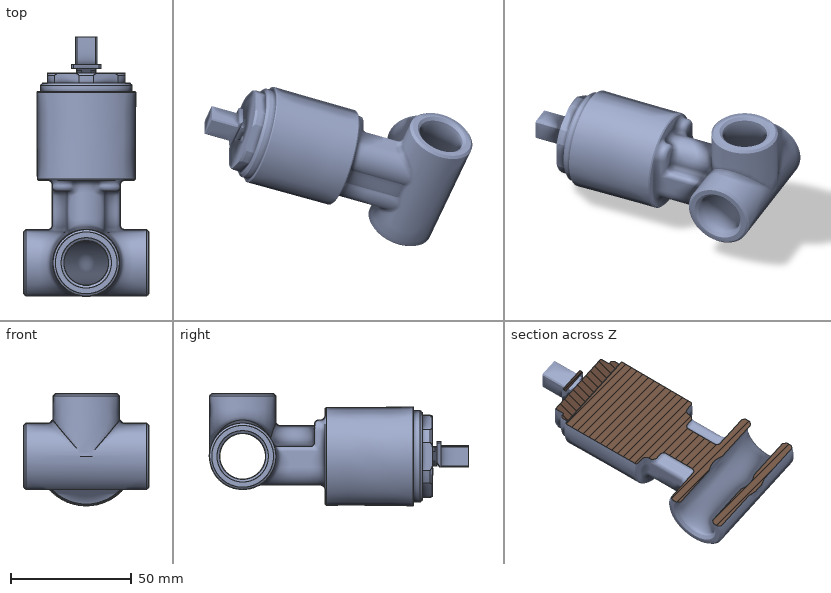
import cadquery as cq
import math


SEAM_TOLERANCE = 0.001

RUN_LENGTH = 52.1
RUN_RADIUS = 13.8
RUN_BORE_RADIUS = 9.5
BRANCH_TOP = RUN_LENGTH / 2
BRANCH_TOP_RADIUS = 13.8
BRANCH_BASE_RADIUS = 14.0
BRANCH_CORE_RADIUS = 13.7
BRANCH_BORE_RADIUS = 9.3
TEE_FILLET = 2.2
END_CHAMFER = 1.0
MOUTH_CHAMFER = 1.2

BARREL_START = 34.3
BARREL_END = 71.0
SHOULDER_END = 74.6
HEX_END = 78.8
STEM_END = 107.8 - BRANCH_BASE_RADIUS

BARREL_RADIUS = 20.6
BARREL_START_RADIUS = 20.4
BARREL_BREAK = 0.3
BARREL_START_BREAK = 0.5

CAST_FILLET = 1.9
FLANGE_FILLET = 2.0
NECK_HALF_WIDTH = 14.1
ARM_TOP = 4.0
HUMP_RADIUS = 7.8
HUMP_CENTER_Z = 5.0
LOBE_RADIUS = 7.0
LOBE_CENTER_Z = -5.0
LOBE_END_ANGLE = math.radians(30)

EAR_RADIUS = 4.6
EAR_TOP = 15.1
EAR_FRONT = 29.9
EAR_EDGE_FILLET = 1.7

SHOULDER_RADIUS = 19.1
SHOULDER_CHAMFER = 1.0
HEX_ACROSS_FLATS = 32.2
HEX_CORNER_RADIUS = 17.1
HEX_CHAMFER_LENGTH = 1.0
HEX_CHAMFER_DEPTH = 0.4
PAD_DIAMETER = 2.7
PAD_HEIGHT = 0.3
PAD_CENTER_Z = -6.4

SQUARE_WIDTH = 8.9
SQUARE_CHAMFER = 0.5
COLLAR_START = 80.6
COLLAR_END = 82.3
COLLAR_WIDTH = 12.3
COLLAR_TOP = 6.3
COLLAR_CHAMFER = 0.8
COLLAR_RAMP_LENGTH = 1.2
COLLAR_RAMP_HEIGHT = 1.8
JOURNAL_WIDTH = 8.1
JOURNAL_RADIUS = 4.5
JOURNAL_END = 79.8


def xz_plane(y):
    """Sketch plane at height y: local x is X, local y is Z, extruding toward -Y."""
    return cq.Workplane("XZ", origin=(0, y, 0))


def along_y(profile):
    """Turn a (radius, y) profile about the Y axis."""
    return cq.Workplane("XY").polyline(profile).close().revolve(360, (0, 0), (0, 1))


def join_filleted(first, second, radius):
    """Union two shapes and fillet the edges where their surfaces meet."""
    joined = first.union(second)
    seams = []
    for edge in joined.edges().vals():
        middle = cq.Vertex.makeVertex(*edge.positionAt(0.5).toTuple())
        gap = max(middle.distance(first.val()), middle.distance(second.val()))
        if gap < SEAM_TOLERANCE:
            seams.append(edge)
    return joined.newObject(seams).fillet(radius)


def make_barrel():
    return along_y([
        (0, BARREL_START),
        (BARREL_START_RADIUS - BARREL_START_BREAK, BARREL_START),
        (BARREL_START_RADIUS, BARREL_START + BARREL_START_BREAK),
        (BARREL_RADIUS, BARREL_END - BARREL_BREAK),
        (BARREL_RADIUS - BARREL_BREAK, BARREL_END),
        (0, BARREL_END),
    ])


def make_neck():
    """Hump on top, a flat arm at each side, and two round lobes below."""
    lobe_x = NECK_HALF_WIDTH - LOBE_RADIUS
    floor_x = lobe_x - LOBE_RADIUS * math.sin(LOBE_END_ANGLE)
    floor_z = LOBE_CENTER_Z - LOBE_RADIUS * math.cos(LOBE_END_ANGLE)
    arm_edge = NECK_HALF_WIDTH - CAST_FILLET
    diagonal = math.sqrt(0.5)

    root_z = ARM_TOP + CAST_FILLET
    root_x = math.sqrt((HUMP_RADIUS + CAST_FILLET) ** 2 - (root_z - HUMP_CENTER_Z) ** 2)
    share = HUMP_RADIUS / (HUMP_RADIUS + CAST_FILLET)
    tangent_x = root_x * share
    tangent_z = HUMP_CENTER_Z + (root_z - HUMP_CENTER_Z) * share
    turn_start = -math.pi / 2
    turn_end = math.atan2(HUMP_CENTER_Z - root_z, -root_x)
    mid_angle = (turn_start + turn_end) / 2
    root_mid = (root_x + CAST_FILLET * math.cos(mid_angle), root_z + CAST_FILLET * math.sin(mid_angle))

    def mirrored(point):
        return (-point[0], point[1])

    lobe_mid = (lobe_x + LOBE_RADIUS * diagonal, LOBE_CENTER_Z - LOBE_RADIUS * diagonal)
    edge_mid = (arm_edge + CAST_FILLET * diagonal, ARM_TOP - CAST_FILLET + CAST_FILLET * diagonal)
    outline = (
        xz_plane(BARREL_START)
        .moveTo(-floor_x, floor_z)
        .lineTo(floor_x, floor_z)
        .threePointArc(lobe_mid, (NECK_HALF_WIDTH, LOBE_CENTER_Z))
        .lineTo(NECK_HALF_WIDTH, ARM_TOP - CAST_FILLET)
        .threePointArc(edge_mid, (arm_edge, ARM_TOP))
        .lineTo(root_x, ARM_TOP)
        .threePointArc(root_mid, (tangent_x, tangent_z))
        .threePointArc((0, HUMP_CENTER_Z + HUMP_RADIUS), (-tangent_x, tangent_z))
        .threePointArc(mirrored(root_mid), (-root_x, ARM_TOP))
        .lineTo(-arm_edge, ARM_TOP)
        .threePointArc(mirrored(edge_mid), (-NECK_HALF_WIDTH, ARM_TOP - CAST_FILLET))
        .lineTo(-NECK_HALF_WIDTH, LOBE_CENTER_Z)
        .threePointArc(mirrored(lobe_mid), (-floor_x, floor_z))
        .close()
    )
    return outline.extrude(BARREL_START)


def make_ear(side):
    ear_x = side * (NECK_HALF_WIDTH - EAR_RADIUS)
    arch_z = EAR_TOP - EAR_RADIUS
    ear = (
        xz_plane(BARREL_START)
        .moveTo(ear_x - EAR_RADIUS, 0)
        .lineTo(ear_x + EAR_RADIUS, 0)
        .lineTo(ear_x + EAR_RADIUS, arch_z)
        .threePointArc((ear_x, EAR_TOP), (ear_x - EAR_RADIUS, arch_z))
        .close()
        .extrude(BARREL_START - EAR_FRONT)
    )
    return ear.faces("<Y").edges("not <Z").fillet(EAR_EDGE_FILLET)


def make_run():
    run = cq.Workplane("YZ").circle(RUN_RADIUS).extrude(RUN_LENGTH / 2, both=True)
    return run.edges().chamfer(END_CHAMFER)


def make_branch():
    """Drafted tube, widest at its foot on the run axis."""
    profile = [
        (0, 0),
        (BRANCH_BASE_RADIUS, 0),
        (BRANCH_TOP_RADIUS, BRANCH_TOP - END_CHAMFER),
        (BRANCH_TOP_RADIUS - END_CHAMFER, BRANCH_TOP),
        (0, BRANCH_TOP),
    ]
    return cq.Workplane("XZ").polyline(profile).close().revolve(360, (0, 0), (0, 1))


def make_tee_core():
    """Run with a straight core, slightly thinner than the branch, that carries the tee fillet."""
    core = cq.Workplane("XY").circle(BRANCH_CORE_RADIUS).extrude(BRANCH_TOP - END_CHAMFER)
    return join_filleted(make_run(), core, TEE_FILLET)


def bore_tool(plane, radius, start, end):
    return cq.Workplane(plane).workplane(offset=start).circle(radius).extrude(end - start)


def mouth_tool(radius, direction):
    """Cone that chamfers a bore mouth at a distance of half the run length from the origin."""
    axis = cq.Vector(*direction)
    tip = axis * (RUN_LENGTH / 2 - MOUTH_CHAMFER)
    return cq.Workplane(cq.Solid.makeCone(radius, radius + MOUTH_CHAMFER, MOUTH_CHAMFER, tip, axis))


def make_passages():
    half_run = RUN_LENGTH / 2
    run_bore = bore_tool("YZ", RUN_BORE_RADIUS, -half_run, half_run)
    branch_bore = bore_tool("XY", BRANCH_BORE_RADIUS, 0, BRANCH_TOP)
    passages = run_bore.union(branch_bore)
    for direction, radius in (
        ((1, 0, 0), RUN_BORE_RADIUS),
        ((-1, 0, 0), RUN_BORE_RADIUS),
        ((0, 0, 1), BRANCH_BORE_RADIUS),
    ):
        passages = passages.union(mouth_tool(radius, direction))
    return passages


def make_housing():
    neck = make_neck()
    ears = make_ear(1).union(make_ear(-1))
    body = join_filleted(neck, ears, CAST_FILLET)
    body = join_filleted(body, make_barrel(), FLANGE_FILLET)
    body = join_filleted(body, make_tee_core(), CAST_FILLET)
    body = body.union(make_branch())
    return body.cut(make_passages())


def make_bonnet():
    """Round shoulder with a hexagon whose corners are turned off and chamfered."""
    shoulder = along_y([
        (0, BARREL_END),
        (SHOULDER_RADIUS, BARREL_END),
        (SHOULDER_RADIUS, SHOULDER_END - SHOULDER_CHAMFER),
        (SHOULDER_RADIUS - SHOULDER_CHAMFER, SHOULDER_END),
        (0, SHOULDER_END),
    ])
    corner_diameter = HEX_ACROSS_FLATS / math.cos(math.pi / 6)
    hexagon = (
        xz_plane(HEX_END)
        .transformed(rotate=(0, 0, 90))
        .polygon(6, corner_diameter)
        .extrude(HEX_END - SHOULDER_END)
    )
    turned = along_y([
        (0, SHOULDER_END),
        (HEX_CORNER_RADIUS, SHOULDER_END),
        (HEX_CORNER_RADIUS, HEX_END - HEX_CHAMFER_LENGTH),
        (HEX_CORNER_RADIUS - HEX_CHAMFER_DEPTH, HEX_END),
        (0, HEX_END),
    ])
    pad = xz_plane(HEX_END).center(0, PAD_CENTER_Z).circle(PAD_DIAMETER / 2).extrude(-PAD_HEIGHT)
    return shoulder.union(hexagon.intersect(turned)).union(pad)


def make_stem():
    """Square drive, stop collar and journal, standing on the bonnet."""
    square = (
        xz_plane(STEM_END)
        .rect(SQUARE_WIDTH, SQUARE_WIDTH)
        .extrude(STEM_END - COLLAR_END)
        .edges("|Y")
        .chamfer(SQUARE_CHAMFER)
    )
    collar_bottom = -SQUARE_WIDTH / 2
    collar = (
        xz_plane(COLLAR_END)
        .center(0, (COLLAR_TOP + collar_bottom) / 2)
        .rect(COLLAR_WIDTH, COLLAR_TOP - collar_bottom)
        .extrude(COLLAR_END - COLLAR_START)
        .edges("|Y and >Z")
        .chamfer(COLLAR_CHAMFER)
    )
    ramp = (
        cq.Workplane("YZ")
        .polyline([
            (COLLAR_START, collar_bottom),
            (COLLAR_START + COLLAR_RAMP_LENGTH, collar_bottom),
            (COLLAR_START, collar_bottom + COLLAR_RAMP_HEIGHT),
        ])
        .close()
        .extrude(COLLAR_WIDTH / 2, both=True)
    )
    journal = xz_plane(COLLAR_START).rect(JOURNAL_WIDTH, JOURNAL_WIDTH).extrude(COLLAR_START - HEX_END)
    corner_relief = (
        xz_plane(JOURNAL_END)
        .rect(2 * JOURNAL_WIDTH, 2 * JOURNAL_WIDTH)
        .circle(JOURNAL_RADIUS)
        .extrude(JOURNAL_END - HEX_END)
    )
    return square.union(collar.cut(ramp)).union(journal.cut(corner_relief))


housing = make_housing()
bonnet = make_bonnet()
stem = make_stem()

result = cq.Compound.makeCompound([housing.val(), bonnet.val(), stem.val()])